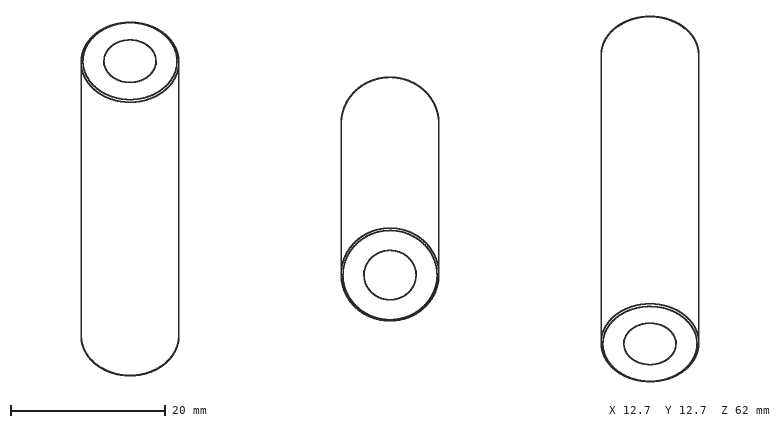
import cadquery as cq

length = 62.0
outer_diameter = 12.7
bore_diameter = 6.75
edge_chamfer = 0.25

bar = cq.Workplane("XY").circle(outer_diameter / 2).extrude(length)
bar = bar.faces("<Z or >Z").edges().chamfer(edge_chamfer)

bore = cq.Workplane("XY").circle(bore_diameter / 2).extrude(length)

result = bar.cut(bore)